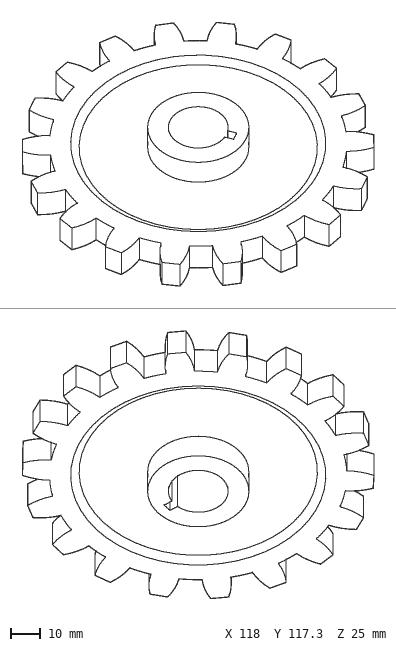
import cadquery as cq
import math

tooth_count = 18
tip_distance = 59.0
tip_half_width = 3.1
flank_mid_distance = 54.3
flank_mid_half_width = 4.5
root_radius = 49.9
root_half_width = 4.8
rim_thickness = 10.1
hub_diameter = 34.0
hub_length = 25.0
bore_diameter = 20.1
key_width = 3.2
key_reach = 13.1
recess_mouth_radius = 42.8
recess_floor_radius = 40.0
recess_depth = 1.8

tooth_pitch = 360 / tooth_count


def rotated(x, y, angle):
    """Turn a point about the gear axis by an angle in degrees."""
    a = math.radians(angle)
    return (x * math.cos(a) - y * math.sin(a), x * math.sin(a) + y * math.cos(a))


def make_toothed_rim():
    """Disc with curved tooth flanks, flat tips and round root lands."""
    root_distance = math.sqrt(root_radius**2 - root_half_width**2)
    outline = cq.Workplane("XY").workplane(offset=-rim_thickness / 2)
    outline = outline.moveTo(root_distance, -root_half_width)
    for tooth in range(tooth_count):
        angle = tooth * tooth_pitch
        next_angle = angle + tooth_pitch
        outline = outline.threePointArc(
            rotated(flank_mid_distance, -flank_mid_half_width, angle),
            rotated(tip_distance, -tip_half_width, angle),
        )
        outline = outline.lineTo(*rotated(tip_distance, tip_half_width, angle))
        outline = outline.threePointArc(
            rotated(flank_mid_distance, flank_mid_half_width, angle),
            rotated(root_distance, root_half_width, angle),
        )
        outline = outline.threePointArc(
            rotated(root_radius, 0, angle + tooth_pitch / 2),
            rotated(root_distance, -root_half_width, next_angle),
        )
    return outline.close().extrude(rim_thickness)


def make_recess():
    """Shallow cone-walled dish cut into the upper face of the rim."""
    face_z = rim_thickness / 2
    floor_z = face_z - recess_depth
    profile = [
        (0, floor_z),
        (recess_floor_radius, floor_z),
        (recess_mouth_radius, face_z),
        (0, face_z),
    ]
    return cq.Workplane("XZ").polyline(profile).close().revolve(360, (0, 0), (0, 1))


def make_bore():
    """Through bore with a keyway on the +X side."""
    bore = cq.Workplane("XY").circle(bore_diameter / 2).extrude(hub_length / 2, both=True)
    keyway = cq.Workplane("XY").box(key_reach, key_width, hub_length)
    return bore.union(keyway.translate((key_reach / 2, 0, 0)))


recess = make_recess()
hub = cq.Workplane("XY").circle(hub_diameter / 2).extrude(hub_length / 2, both=True)

gear = make_toothed_rim().cut(recess).cut(recess.mirror("XY"))
result = gear.union(hub).cut(make_bore())